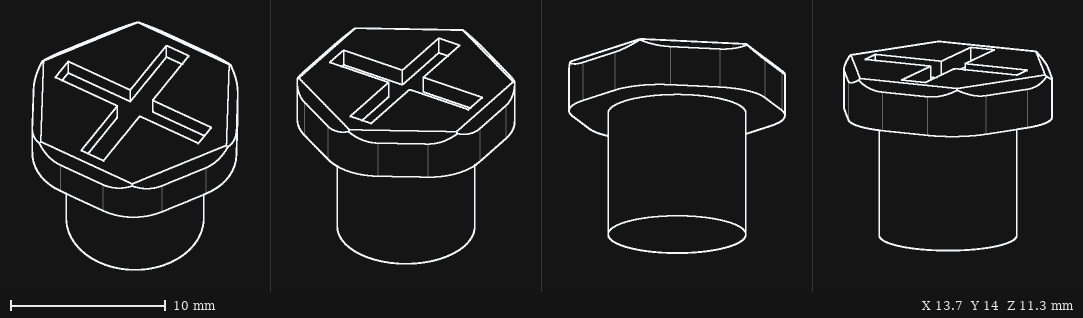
import cadquery as cq
import math

total_height = 11.3
head_height = 3.15
shank_diameter = 8.9
head_across_flats = 13.19
corner_radius = 3.8
head_chamfer = 0.6
corner_angle = 20

long_slot_width = 1.59
short_slot_width = 1.69
cross_depth = 1.13
long_slot_length = 10.83
short_slot_length = 10.54
long_slot_offset = -0.13

shank_height = total_height - head_height


def hexagon_prism(across_flats, height, taper=0):
    circumscribed_diameter = across_flats / math.cos(math.radians(30))
    return cq.Workplane("XY").polygon(6, circumscribed_diameter).extrude(height, taper=taper)


def make_head():
    straight_height = head_height - head_chamfer
    rounded = hexagon_prism(head_across_flats, head_height).edges("|Z").fillet(corner_radius)
    bevel = hexagon_prism(head_across_flats, head_chamfer, taper=45).translate((0, 0, straight_height))
    envelope = hexagon_prism(head_across_flats, straight_height).union(bevel)
    return rounded.intersect(envelope)


def make_cross():
    long_slot = cq.Workplane("XY").center(long_slot_offset, 0).rect(long_slot_length, long_slot_width)
    short_slot = cq.Workplane("XY").rect(short_slot_width, short_slot_length)
    cross = long_slot.extrude(cross_depth).union(short_slot.extrude(cross_depth))
    return cross.translate((0, 0, head_height - cross_depth))


shank = cq.Workplane("XY").circle(shank_diameter / 2).extrude(shank_height)
head = make_head().cut(make_cross())
head = head.rotate((0, 0, 0), (0, 0, 1), corner_angle).translate((0, 0, shank_height))

result = shank.union(head)